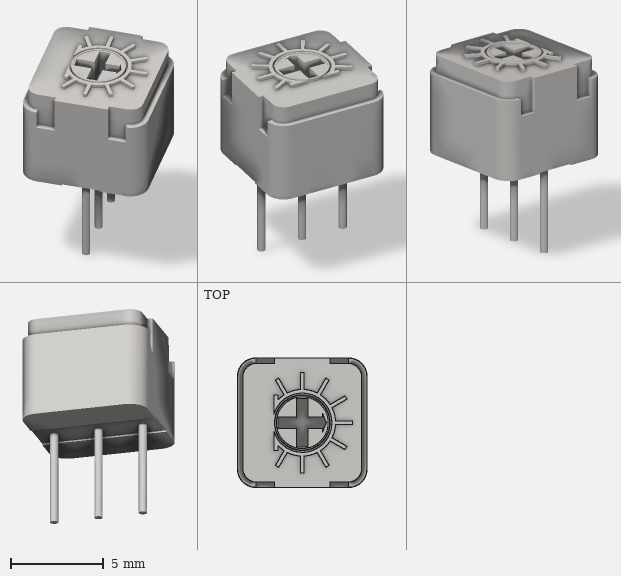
import cadquery as cq

body_side = 7.0
body_height = 5.6
corner_radius = 1.0

cap_inset = 0.3
cap_height = 1.0
cap_side = body_side - 2 * cap_inset
cap_corner_radius = corner_radius - cap_inset

recess_width = 1.0
recess_height = 2.0
recess_center_x = body_side / 2 - corner_radius - recess_width / 2

channel_width = 2.2
channel_depth = 0.08

dial_height = 0.2
ring_outer_radius = 1.8
ring_inner_radius = 1.6
spoke_tip_radius = 2.72
spoke_width = 0.2
spoke_step_angle = 30
spokes_each_side = 4
stop_bar_outer_x = -1.53
stop_bar_inner_x = -1.3
stop_bar_length = 3.0

bore_radius = 1.5
bore_depth = 0.2
rotor_radius = 1.48
face_radius = 1.4
face_recess = 0.05
slot_width_x = 0.62
slot_width_y = 0.6
slot_reach = 1.3
slot_depth = 1.5
arrow_base_x = 1.1
arrow_half_width = 0.5

pin_diameter = 0.45
pin_length = 5.0
pin_pitch = 2.5

dial_top_z = body_height + dial_height
rotor_face_z = dial_top_z - face_recess


def make_housing():
    """Rounded block, stepped in at the top except for the front and back middles."""
    block = cq.Workplane("XY").rect(body_side, body_side).extrude(body_height)
    block = block.edges("|Z").fillet(corner_radius)

    step_z = body_height - cap_height
    step_ring = (
        cq.Workplane("XY", origin=(0, 0, step_z)).rect(body_side, body_side).extrude(cap_height)
    )
    cap = cq.Workplane("XY", origin=(0, 0, step_z)).rect(cap_side, cap_side).extrude(cap_height)
    cap = cap.edges("|Z").fillet(cap_corner_radius)
    middle_width = body_side - 2 * corner_radius
    middle = cq.Workplane("XY", origin=(0, 0, step_z)).rect(middle_width, body_side).extrude(cap_height)
    return block.cut(step_ring.cut(cap).cut(middle))


def make_side_recesses():
    recess_center_y = (body_side - cap_inset) / 2
    return (
        cq.Workplane("XY", origin=(0, 0, body_height - recess_height))
        .rect(2 * recess_center_x, 2 * recess_center_y, forConstruction=True)
        .vertices()
        .rect(recess_width, cap_inset)
        .extrude(recess_height)
    )


def make_channel():
    return cq.Workplane("XY").rect(channel_width, body_side).extrude(channel_depth)


def make_dial():
    """Ring with radial spokes and a straight stop bar that trims the ring at -X."""
    dial_plane = cq.Workplane("XY", origin=(0, 0, body_height))
    dial = dial_plane.circle(ring_outer_radius).extrude(dial_height)

    for index in range(-spokes_each_side, spokes_each_side + 1):
        spoke = (
            dial_plane.center(spoke_tip_radius / 2, 0)
            .rect(spoke_tip_radius, spoke_width)
            .extrude(dial_height)
            .rotate((0, 0, 0), (0, 0, 1), index * spoke_step_angle)
        )
        dial = dial.union(spoke)

    stop_bar_width = stop_bar_inner_x - stop_bar_outer_x
    ring_overhang = ring_outer_radius + stop_bar_outer_x
    beyond_bar = (
        dial_plane.center(stop_bar_outer_x - ring_overhang / 2, 0)
        .rect(ring_overhang, 2 * ring_outer_radius)
        .extrude(dial_height)
    )
    stop_bar = (
        dial_plane.center((stop_bar_outer_x + stop_bar_inner_x) / 2, 0)
        .rect(stop_bar_width, stop_bar_length)
        .extrude(dial_height)
    )
    ring_bore = dial_plane.circle(ring_inner_radius).extrude(dial_height)
    return dial.cut(beyond_bar).union(stop_bar).cut(ring_bore)


def make_bore():
    return cq.Workplane("XY", origin=(0, 0, body_height)).circle(bore_radius).extrude(-bore_depth)


def make_rotor():
    """Disc rising from the bore floor to the dial top, with a sunken face inside a thin rim."""
    rotor = (
        cq.Workplane("XY", origin=(0, 0, body_height - bore_depth))
        .circle(rotor_radius)
        .extrude(bore_depth + dial_height)
    )
    face = cq.Workplane("XY", origin=(0, 0, rotor_face_z)).circle(face_radius).extrude(face_recess)
    return rotor.cut(face)


def make_slot():
    """Cross with an arrowhead on its +X arm."""
    slot_plane = cq.Workplane("XY", origin=(0, 0, rotor_face_z))
    arm_y = slot_plane.rect(slot_width_x, 2 * slot_reach).extrude(-slot_depth)
    arm_x_length = slot_reach + arrow_base_x
    arm_x = (
        slot_plane.center(arrow_base_x - arm_x_length / 2, 0)
        .rect(arm_x_length, slot_width_y)
        .extrude(-slot_depth)
    )
    arrow = (
        slot_plane.moveTo(arrow_base_x, -arrow_half_width)
        .lineTo(slot_reach, 0)
        .lineTo(arrow_base_x, arrow_half_width)
        .close()
        .extrude(-slot_depth)
    )
    return arm_y.union(arm_x).union(arrow)


def make_pins():
    return (
        cq.Workplane("XY", origin=(0, 0, channel_depth))
        .pushPoints([(0, -pin_pitch), (0, 0), (0, pin_pitch)])
        .circle(pin_diameter / 2)
        .extrude(-(channel_depth + pin_length))
    )


housing = make_housing().cut(make_side_recesses()).cut(make_channel()).cut(make_bore())
result = housing.union(make_dial()).union(make_rotor()).cut(make_slot()).union(make_pins())